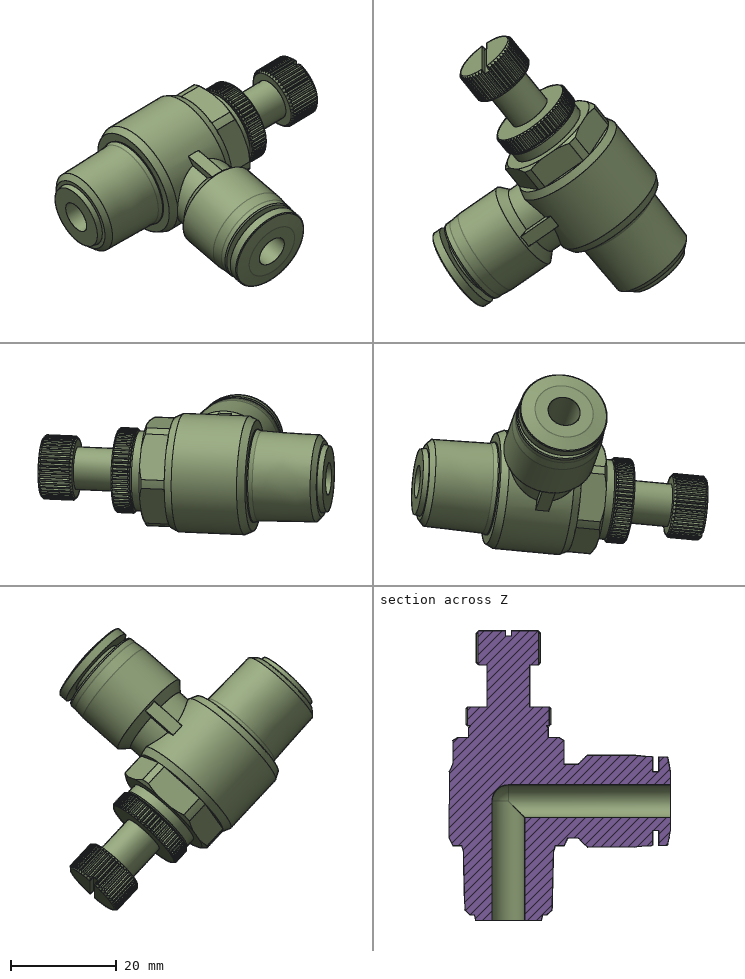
import cadquery as cq
import math


total_length = 54.9
branch_y = 22.6

tip_radius = 6.25
tip_shoulder_radius = 6.5
tip_length = 1.05
thread_chamfer_radius = 7.25
thread_end_radius = 8.3
thread_end_y = 2.05
thread_root_radius = 8.55
thread_root_y = 13.1
flare_radius = 8.85
flare_y = 13.95

body_radius = 11.25
body_chamfer = 0.7
body_chamfer_length = 1.5
body_bottom_y = 14.15
body_top_y = 29.7

hex_across_flats = 19.05
hex_corner_radius = body_radius - body_chamfer
hex_chamfer_radius = 9.65
hex_chamfer_length = 0.55
hex_top_y = 34.7

collar_radius = 7.6
collar_chamfer = 0.35

nut_radius = 8.05
nut_bottom_y = 36.9
nut_top_y = 40.45
nut_chamfer = 0.35
nut_teeth = 60

stem_radius = 4.05
head_radius = 6.1
head_bottom_y = 48.35
head_chamfer = 0.5
head_teeth = 48
slot_width = 1.1
slot_depth = 1.0

knurl_depth = 0.35
knurl_width = 0.45

neck_radius = 7.0
cone_start_x = 13.25
sleeve_radius = 8.75
sleeve_start_x = 14.95
sleeve_taper_x = 23.8
sleeve_band_x = 25.95
sleeve_band_radius = 8.5
sleeve_rim_x = 27.0
sleeve_end_radius = 8.35
sleeve_end_x = 27.35
groove_radius = 5.6
flange_start_x = 28.45
flange_radius = 8.4
flange_edge_x = 30.05
flange_edge_chamfer = 0.15
flange_face_radius = 5.6
flange_end_x = 30.7

rib_width = 2.5
rib_height = 8.35
bore_radius = 3.1


def turned_on_y(profile):
    """Revolve an outline of (radius, y) points about the Y axis."""
    points = [(0, profile[0][1])] + profile + [(0, profile[-1][1])]
    return cq.Workplane("XY").polyline(points).close().revolve(360, (0, 0, 0), (0, 1, 0))


def prism_on_y(points, bottom_y, top_y):
    """Extrude a closed outline along Y between two heights."""
    return cq.Workplane("XZ", origin=(0, top_y, 0)).polyline(points).close().extrude(top_y - bottom_y)


def polar_point(radius, angle):
    """Point at a radius and an angle in radians."""
    return radius * math.cos(angle), radius * math.sin(angle)


def knurled_disc(radius, bottom_y, top_y, chamfer, teeth):
    """Chamfered disc on the Y axis with V-grooves around its rim."""
    half_groove = knurl_width / 2 / radius
    rim = []
    for k in range(teeth):
        middle = 2 * math.pi * k / teeth
        rim.append(polar_point(radius, middle - half_groove))
        rim.append(polar_point(radius - knurl_depth, middle))
        rim.append(polar_point(radius, middle + half_groove))
    blank = turned_on_y([
        (radius - chamfer, bottom_y),
        (radius, bottom_y + chamfer),
        (radius, top_y - chamfer),
        (radius - chamfer, top_y),
    ])
    return prism_on_y(rim, bottom_y, top_y).intersect(blank)


def valve_body():
    """Threaded end, main body, collar and stem as one turned shape."""
    return turned_on_y([
        (tip_radius, 0),
        (tip_shoulder_radius, tip_length),
        (thread_chamfer_radius, tip_length),
        (thread_end_radius, thread_end_y),
        (thread_root_radius, thread_root_y),
        (flare_radius, flare_y),
        (flare_radius, body_bottom_y),
        (body_radius - body_chamfer, body_bottom_y),
        (body_radius, body_bottom_y + body_chamfer_length),
        (body_radius, body_top_y - body_chamfer_length),
        (body_radius - body_chamfer, body_top_y),
        (collar_radius, body_top_y),
        (collar_radius, nut_bottom_y - collar_chamfer),
        (collar_radius - collar_chamfer, nut_bottom_y),
        (stem_radius, nut_bottom_y),
        (stem_radius, head_bottom_y),
    ])


def hexagon():
    """Hexagon with flats facing +Z and -Z, rounded corners and a chamfered top."""
    corner = hex_across_flats / 2 / math.cos(math.pi / 6)
    outline = [polar_point(corner, math.pi / 3 * k) for k in range(6)]
    envelope = turned_on_y([
        (hex_corner_radius, body_top_y),
        (hex_corner_radius, hex_top_y - hex_chamfer_length),
        (hex_chamfer_radius, hex_top_y),
    ])
    return prism_on_y(outline, body_top_y, hex_top_y).intersect(envelope)


def tube_port():
    """Neck, sleeve, groove and release flange turned about the branch axis."""
    profile = [
        (0, 0),
        (0, neck_radius),
        (cone_start_x, neck_radius),
        (sleeve_start_x, sleeve_radius),
        (sleeve_taper_x, sleeve_radius),
        (sleeve_band_x, sleeve_band_radius),
        (sleeve_rim_x, sleeve_band_radius),
        (sleeve_end_x, sleeve_end_radius),
        (sleeve_end_x, groove_radius),
        (flange_start_x, groove_radius),
        (flange_start_x, flange_radius),
        (flange_edge_x, flange_radius),
        (flange_edge_x + flange_edge_chamfer, flange_radius - flange_edge_chamfer),
        (flange_end_x, flange_face_radius),
        (flange_end_x, 0),
    ]
    plane = cq.Workplane("XY", origin=(0, branch_y, 0))
    return plane.polyline(profile).close().revolve(360, (0, 0, 0), (1, 0, 0))


def ribs():
    """One flat bar that stands out of the neck as a rib on its +Z and -Z sides."""
    bar = cq.Workplane("XY").box(sleeve_start_x, rib_width, 2 * rib_height, centered=(False, True, True))
    return bar.translate((0, branch_y, 0))


def flow_passage():
    """Bore from the thread tip, rounded at the branch axis, then out through the tube port."""
    inlet = turned_on_y([(bore_radius, 0), (bore_radius, branch_y)])
    elbow = cq.Workplane("XY", origin=(0, branch_y, 0)).sphere(bore_radius)
    outlet = cq.Workplane("YZ", origin=(0, branch_y, 0)).circle(bore_radius).extrude(flange_end_x)
    return inlet.union(elbow).union(outlet)


def screwdriver_slot():
    """Slot across the head along Z."""
    slot = cq.Workplane("XY").box(slot_width, slot_depth, 2 * head_radius, centered=(True, False, True))
    return slot.translate((0, total_length - slot_depth, 0))


nut = knurled_disc(nut_radius, nut_bottom_y, nut_top_y, nut_chamfer, nut_teeth)
head = knurled_disc(head_radius, head_bottom_y, total_length, head_chamfer, head_teeth)

result = (
    valve_body()
    .union(hexagon())
    .union(tube_port())
    .union(ribs())
    .union(nut)
    .union(head)
    .cut(flow_passage())
    .cut(screwdriver_slot())
)